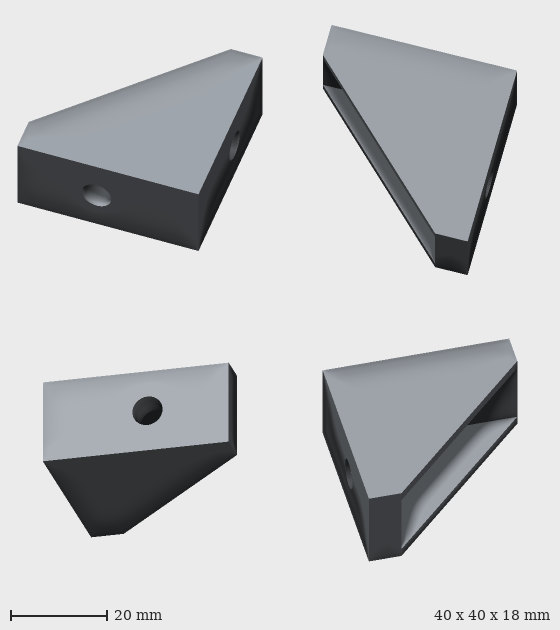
import cadquery as cq

leg_length = 40.0
width = 18.0
leg_thickness = 7.0
gusset_thickness = 2.0
hole_diameter = 6.5
hole_from_corner = 22.5

inner_x = leg_length - leg_thickness
pocket_width = width - 2 * gusset_thickness

bracket = (
    cq.Workplane("XY")
    .polyline([
        (0, 0),
        (leg_length, 0),
        (leg_length, leg_length),
        (inner_x, leg_length),
        (0, leg_thickness),
    ])
    .close()
    .extrude(width)
)

pocket = (
    cq.Workplane("XY", origin=(0, 0, gusset_thickness))
    .polyline([
        (0, leg_thickness),
        (inner_x, leg_thickness),
        (inner_x, leg_length),
        (0, leg_length),
    ])
    .close()
    .extrude(pocket_width)
)


def leg_hole(start, direction):
    """Cylinder that crosses the whole bracket along the given direction."""
    return cq.Workplane(
        cq.Solid.makeCylinder(hole_diameter / 2, leg_length, cq.Vector(*start), cq.Vector(*direction))
    )


hole_along_y = leg_hole((leg_length - hole_from_corner, 0, width / 2), (0, 1, 0))
hole_along_x = leg_hole((0, hole_from_corner, width / 2), (1, 0, 0))

result = bracket.cut(pocket).cut(hole_along_y).cut(hole_along_x)